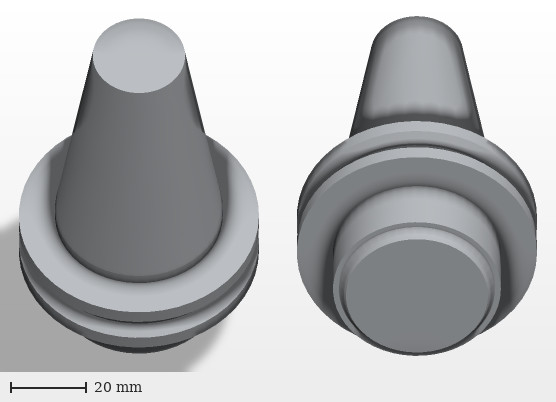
import cadquery as cq

total_height = 106.2

shank_tip_radius = 12.2
gauge_radius = 22.2
taper_length = 68.4
collar_length = 3.2

flange_radius = 31.8
flange_width = 15.8
rim_width = 4.4
groove_bevel_height = 1.6
groove_shoulder_radius = 28.9
groove_floor_radius = 28.3

nose_radius = gauge_radius
tip_height = 3.0
tip_base_radius = 20.6
tip_neck_radius = 19.8
tip_neck_height = 2.0
tip_edge_radius = 19.3
tip_edge_height = 0.8
tip_end_radius = 18.8

taper_bottom = total_height - taper_length
flange_top = taper_bottom - collar_length
flange_bottom = flange_top - flange_width
groove_top = flange_top - rim_width
groove_bottom = flange_bottom + rim_width


def revolve_outline(outline):
    """Turn a closed (radius, height) outline about the Z axis."""
    return outline.revolve(360, (0, 0), (0, 1))


def make_body():
    """Shank, flange and nose, with a concave arc and an edge bevel on the nose tip."""
    outline = (
        cq.Workplane("XZ")
        .lineTo(tip_end_radius, 0)
        .lineTo(tip_edge_radius, tip_edge_height)
        .threePointArc((tip_neck_radius, tip_neck_height), (tip_base_radius, tip_height))
        .lineTo(nose_radius, tip_height)
        .lineTo(nose_radius, flange_bottom)
        .lineTo(flange_radius, flange_bottom)
        .lineTo(flange_radius, flange_top)
        .lineTo(gauge_radius, flange_top)
        .lineTo(gauge_radius, taper_bottom)
        .lineTo(shank_tip_radius, total_height)
        .lineTo(0, total_height)
        .close()
    )
    return revolve_outline(outline)


def make_groove():
    """Ring with bevelled sides and a narrow flat shoulder before the floor."""
    floor_top = groove_top - groove_bevel_height
    floor_bottom = groove_bottom + groove_bevel_height
    outline = cq.Workplane("XZ").polyline([
        (flange_radius, groove_bottom),
        (groove_shoulder_radius, floor_bottom),
        (groove_floor_radius, floor_bottom),
        (groove_floor_radius, floor_top),
        (groove_shoulder_radius, floor_top),
        (flange_radius, groove_top),
    ]).close()
    return revolve_outline(outline)


result = make_body().cut(make_groove())